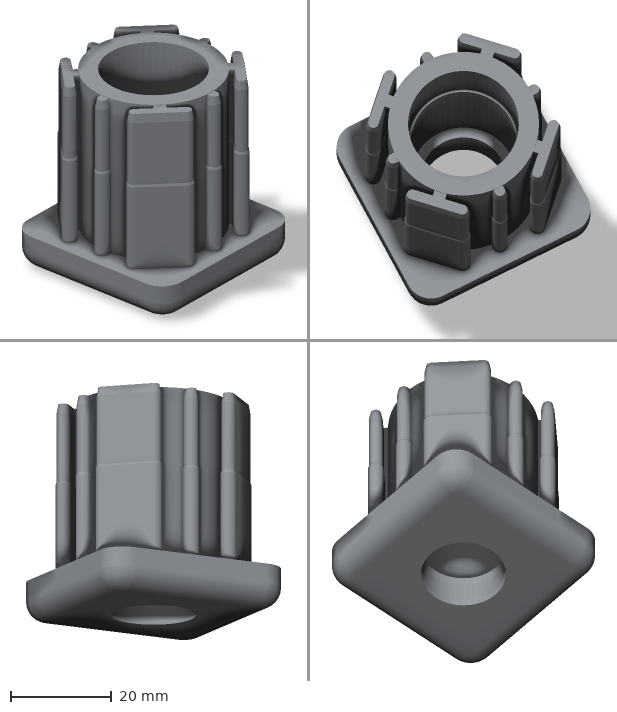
import cadquery as cq

plate_side = 40.0
plate_height = 8.0
plate_corner_radius = 5.0
plate_bottom_fillet = 4.0

total_height = 43.0
tube_diameter = 30.0
bore_diameter = 22.0
bore_depth = 12.0
lower_bore_diameter = 21.05
hole_diameter = 16.9

rib_setback = 0.15
rib_top = total_height - rib_setback
step_bottom = 26.5
step_top = 27.0
tip_bottom = 41.0
step_inset = 0.17
tip_inset = 0.5
rib_sections = [
    (plate_height, 0.0),
    (step_bottom, 0.0),
    (step_top, step_inset),
    (tip_bottom, step_inset),
    (rib_top, tip_inset),
]
rib_thickness = 3.1
rib_reach = 17.35
straight_rib_start = 12.9
corner_rib_distance = 17.1
corner_rib_length = 13.6
web_width = 2.92
web_start = 13.35


def stack(outline):
    """Join lofts between successive rib sections; outline(plane, inset) draws one section."""
    body = None
    for (z0, inset0), (z1, inset1) in zip(rib_sections, rib_sections[1:]):
        layer = outline(cq.Workplane("XY").workplane(offset=z0), inset0)
        layer = outline(layer.workplane(offset=z1 - z0), inset1).loft(ruled=True)
        body = layer if body is None else body.union(layer)
    return body


def straight_outline(plane, inset):
    """Rounded radial bar along +X."""
    length = rib_reach - straight_rib_start
    middle = straight_rib_start + length / 2
    return (
        plane.center(middle, 0)
        .slot2D(length - 2 * inset, rib_thickness - 2 * inset)
        .center(-middle, 0)
    )


def corner_outline(plane, inset):
    """Rounded bar set across the +X axis."""
    return (
        plane.center(corner_rib_distance, 0)
        .slot2D(corner_rib_length - 2 * inset, rib_thickness - 2 * inset, 90)
        .center(-corner_rib_distance, 0)
    )


def web_outline(plane, inset):
    """Bar that ties a corner rib to the tube; its sides stay upright at the tip."""
    middle = (web_start + corner_rib_distance) / 2
    return (
        plane.center(middle, 0)
        .rect(corner_rib_distance - web_start, web_width - 2 * min(inset, step_inset))
        .center(-middle, 0)
    )


def cylinder(diameter, bottom, top):
    """Upright cylinder centred on the axis."""
    return cq.Workplane("XY").workplane(offset=bottom).circle(diameter / 2).extrude(top - bottom)


plate = (
    cq.Workplane("XY")
    .rect(plate_side, plate_side)
    .extrude(plate_height)
    .edges("|Z")
    .fillet(plate_corner_radius)
    .faces("<Z")
    .edges()
    .fillet(plate_bottom_fillet)
)
body = plate.union(cylinder(tube_diameter, plate_height, total_height))

straight_rib = stack(straight_outline)
corner_rib = stack(corner_outline).union(stack(web_outline))
for quarter in range(4):
    angle = 90 * quarter
    body = body.union(straight_rib.rotate((0, 0, 0), (0, 0, 1), angle))
    body = body.union(corner_rib.rotate((0, 0, 0), (0, 0, 1), angle + 45))

bore_step = total_height - bore_depth
result = (
    body.cut(cylinder(hole_diameter, 0, plate_height))
    .cut(cylinder(lower_bore_diameter, plate_height, bore_step))
    .cut(cylinder(bore_diameter, bore_step, total_height))
)